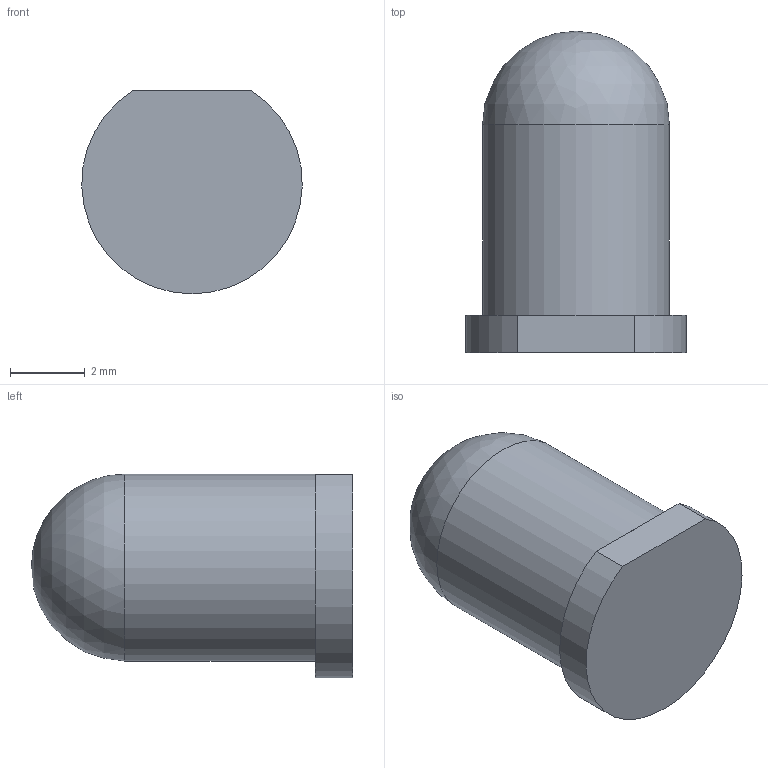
import cadquery as cq

body_diameter = 5.0
flange_diameter = 5.9
flange_thickness = 1.0
overall_length = 8.6

body_radius = body_diameter / 2
flange_radius = flange_diameter / 2
dome_start = overall_length - body_radius
flat_height = body_radius


def make_domed_body():
    """Revolve the half profile of the cylinder and its hemispherical end about Y."""
    dome_middle = body_radius * 0.5 ** 0.5
    return (
        cq.Workplane("YZ")
        .lineTo(0, body_radius)
        .lineTo(dome_start, body_radius)
        .threePointArc((dome_start + dome_middle, dome_middle), (overall_length, 0))
        .close()
        .revolve(360, (0, 0, 0), (1, 0, 0))
    )


def make_flange():
    """Disc at the base with one flat facing +Z."""
    disc = cq.Workplane("XZ").circle(flange_radius).extrude(-flange_thickness)
    kept_height = flange_radius + flat_height
    below_flat = (
        cq.Workplane("XZ")
        .center(0, flat_height - kept_height / 2)
        .rect(flange_diameter, kept_height)
        .extrude(-flange_thickness)
    )
    return disc.intersect(below_flat)


result = make_flange().union(make_domed_body())